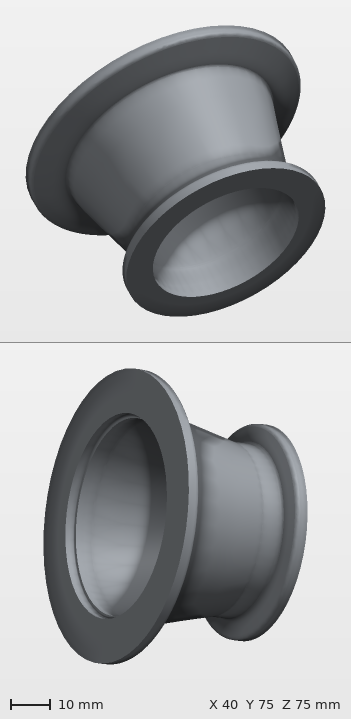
import cadquery as cq
import math

length = 40.0
flange_rim = 2.1
clamp_angle = 15
rim_round = 1.1

large_flange_radius = 37.5
large_neck_radius = 28.4
counterbore_radius = 26.2
counterbore_depth = 2.5
counterbore_round = 0.3
large_bore_radius = 25.2
bore_taper_start = 7.2
large_neck_round = 0.6

small_flange_radius = 27.5
small_tube_radius = 22.3
small_bore_radius = 20.2
tube_start = 30.1
small_neck_round = 0.75
tube_round = 1.1
bore_blend = 3.0


rim_turn = math.radians(90 - clamp_angle)
clamp_corner = flange_rim + rim_round * math.tan(rim_turn / 2)


def clamp_foot(flange_radius, foot_radius):
    """Width of the flange where its clamping face reaches foot_radius."""
    rise = (flange_radius - foot_radius) * math.tan(math.radians(clamp_angle))
    return clamp_corner + rise


def revolve_profile(points):
    """Solid of revolution about X from (x, radius) points."""
    return (
        cq.Workplane("XZ")
        .polyline(points)
        .close()
        .revolve(360, (0, 0, 0), (1, 0, 0))
    )


def circle_at(x, radius):
    """Selector for circular edges in the plane at x, up to the given radius."""
    margin = 0.04
    return cq.selectors.BoxSelector(
        (x - margin, -radius - margin, -radius - margin),
        (x + margin, radius + margin, radius + margin),
        boundingbox=True,
    )


large_foot = clamp_foot(large_flange_radius, large_neck_radius)
small_corner = length - clamp_corner
small_foot = length - clamp_foot(small_flange_radius, small_tube_radius)

outside = revolve_profile([
    (0, 0),
    (0, large_flange_radius),
    (clamp_corner, large_flange_radius),
    (large_foot, large_neck_radius),
    (tube_start, small_tube_radius),
    (small_foot, small_tube_radius),
    (small_corner, small_flange_radius),
    (length, small_flange_radius),
    (length, 0),
])
outside = outside.edges(circle_at(clamp_corner, large_flange_radius)).fillet(rim_round)
outside = outside.edges(circle_at(small_corner, small_flange_radius)).fillet(rim_round)
outside = outside.edges(circle_at(large_foot, large_neck_radius)).fillet(large_neck_round)
outside = outside.edges(circle_at(small_foot, small_tube_radius)).fillet(small_neck_round)
outside = outside.edges(circle_at(tube_start, small_tube_radius)).fillet(tube_round)

bore = revolve_profile([
    (0, 0),
    (0, counterbore_radius),
    (counterbore_depth, counterbore_radius),
    (counterbore_depth, large_bore_radius),
    (bore_taper_start, large_bore_radius),
    (tube_start, small_bore_radius),
    (length, small_bore_radius),
    (length, 0),
])
bore = bore.edges(circle_at(counterbore_depth, counterbore_radius)
                  - circle_at(counterbore_depth, large_bore_radius)).fillet(counterbore_round)
bore = bore.edges(circle_at(bore_taper_start, large_bore_radius)).fillet(bore_blend)
bore = bore.edges(circle_at(tube_start, small_bore_radius)).fillet(bore_blend)

result = outside.cut(bore)